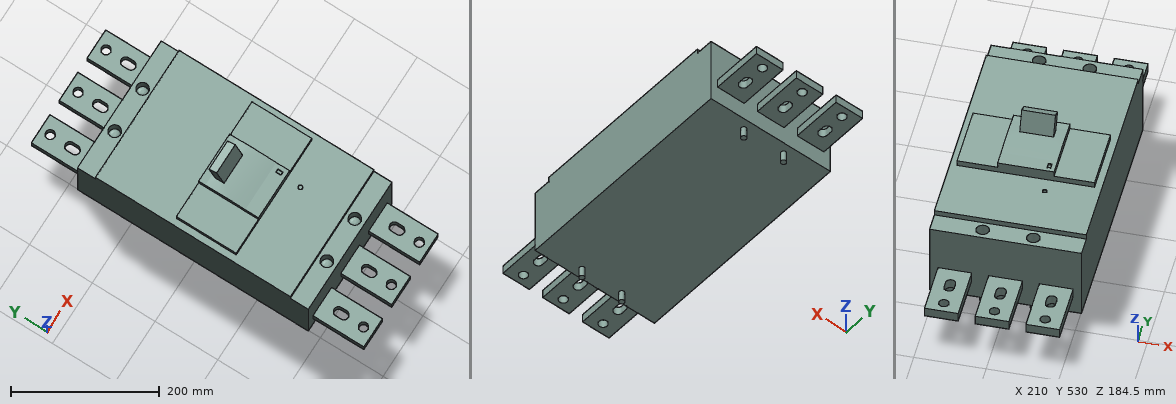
import cadquery as cq
import math

case_width = 210.0
case_length = 368.0
case_height = 120.0
step_length = 28.5
step_height = 8.0
case_end = case_length / 2

panel_width = 190.0
panel_length = 95.5
panel_center_y = -15.0
panel_top = 128.0
switch_width = 78.0
switch_top = 136.0

drum_center_y = -10.0
drum_length = 63.5
drum_rise = 1.5

handle_width = 46.5
handle_thickness = 13.0
handle_lean = 22.0
handle_root_y = 1.5
handle_tip_z = 167.0
handle_root_z = switch_top

window_width = 5.0
window_length = 8.0
window_x = 30.0
window_y = -52.0
test_hole_diameter = 6.5
test_hole_y = -85.0
test_hole_x = 31.5
small_hole_depth = 2.5

overall_length = 530.0
pole_pitch = 70.0
terminal_width = 46.5
terminal_thickness = 14.5
terminal_hole_diameter = 14.0
hole_from_tip = 15.5
slot_from_tip = 51.0
slot_length = 22.0
terminal_length = overall_length / 2 - case_end
front_terminal_bottom = 28.5
rear_terminal_bottom = 30.0

screw_x = pole_pitch / 2
screw_y = 169.0
shank_diameter = 8.5
shank_protrusion = 17.5
head_diameter = 18.0
head_height = 8.0
head_rounding = 6.5
head_seat_z = 88.0


def block(width, length, bottom, top, center_y=0.0):
    """Upright box centered on X."""
    base = cq.Workplane("XY").workplane(offset=bottom).center(0, center_y)
    return base.rect(width, length).extrude(top - bottom)


def make_case():
    shoulder = block(case_width, case_length, 0, case_height - step_height)
    cover = block(case_width, case_length - 2 * step_length, 0, case_height)
    return shoulder.union(cover)


def make_panel():
    panel = block(panel_width, panel_length, case_height, panel_top, panel_center_y)
    switch = block(switch_width, panel_length, case_height, switch_top, panel_center_y)
    return panel.union(switch)


def make_drum():
    """Shallow cylindrical cap across the switch block."""
    rear_y = drum_center_y + drum_length / 2
    front_y = drum_center_y - drum_length / 2
    profile = (
        cq.Workplane("YZ")
        .moveTo(front_y, panel_top)
        .lineTo(front_y, switch_top)
        .threePointArc((drum_center_y, switch_top + drum_rise), (rear_y, switch_top))
        .lineTo(rear_y, panel_top)
        .close()
    )
    return profile.extrude(switch_width / 2, both=True)


def make_handle():
    """Flat lever, built upright at its root corner and then tilted about X."""
    rise = (handle_tip_z - handle_root_z) / math.cos(math.radians(handle_lean))
    root_depth = switch_top - panel_top
    lever = (
        cq.Workplane("XY")
        .box(handle_width, handle_thickness, rise + root_depth, centered=(True, False, False))
        .translate((0, 0, -root_depth))
    )
    tilted = lever.rotate((0, 0, 0), (1, 0, 0), -handle_lean)
    return tilted.translate((0, handle_root_y, handle_root_z))


def make_terminal(pole_x, side, bottom):
    """Flat bar with a round hole and a slot; side is +1 at the +Y end, -1 at the -Y end."""
    tip_y = side * overall_length / 2
    bar = (
        cq.Workplane("XY")
        .workplane(offset=bottom)
        .center(pole_x, tip_y - side * terminal_length / 2)
        .rect(terminal_width, terminal_length)
        .extrude(terminal_thickness)
    )
    plane = cq.Workplane("XY").workplane(offset=bottom)
    hole = (
        plane.center(pole_x, tip_y - side * hole_from_tip)
        .circle(terminal_hole_diameter / 2)
        .extrude(terminal_thickness)
    )
    slot = (
        plane.center(pole_x, tip_y - side * slot_from_tip)
        .slot2D(slot_length, terminal_hole_diameter, 90)
        .extrude(terminal_thickness)
    )
    return bar.cut(hole).cut(slot)


def make_screw_hole(x, y):
    """Shank clearance through the case with a counterbore above the head seat."""
    shank = cq.Workplane("XY").circle(shank_diameter / 2).extrude(case_height)
    bore = (
        cq.Workplane("XY")
        .workplane(offset=head_seat_z)
        .circle(head_diameter / 2)
        .extrude(case_height - head_seat_z)
    )
    return shank.union(bore).translate((x, y, 0))


def make_small_openings():
    window = block(window_width, window_length, switch_top - small_hole_depth, switch_top, window_y)
    test_hole = (
        cq.Workplane("XY")
        .workplane(offset=case_height - small_hole_depth)
        .center(test_hole_x, test_hole_y)
        .circle(test_hole_diameter / 2)
        .extrude(small_hole_depth)
    )
    return window.translate((window_x, 0, 0)).union(test_hole)


def make_breaker(screw_places):
    breaker = make_case().union(make_panel()).union(make_drum()).union(make_handle())
    for pole in (-1, 0, 1):
        breaker = breaker.union(make_terminal(pole * pole_pitch, -1, front_terminal_bottom))
        breaker = breaker.union(make_terminal(pole * pole_pitch, 1, rear_terminal_bottom))
    for x, y in screw_places:
        breaker = breaker.cut(make_screw_hole(x, y))
    return breaker.cut(make_small_openings())


def make_screw(x, y):
    """Round-headed screw whose shank passes out below the case."""
    head = (
        cq.Workplane("XY")
        .workplane(offset=head_seat_z)
        .circle(head_diameter / 2)
        .extrude(head_height)
        .faces(">Z")
        .edges()
        .fillet(head_rounding)
    )
    shank = (
        cq.Workplane("XY")
        .workplane(offset=-shank_protrusion)
        .circle(shank_diameter / 2)
        .extrude(shank_protrusion + head_seat_z)
    )
    return head.union(shank).translate((x, y, 0))


screw_places = [(x, y) for x in (-screw_x, screw_x) for y in (-screw_y, screw_y)]
breaker = make_breaker(screw_places)
screws = [make_screw(x, y) for x, y in screw_places]

result = cq.Compound.makeCompound([breaker.val(), *[screw.val() for screw in screws]])